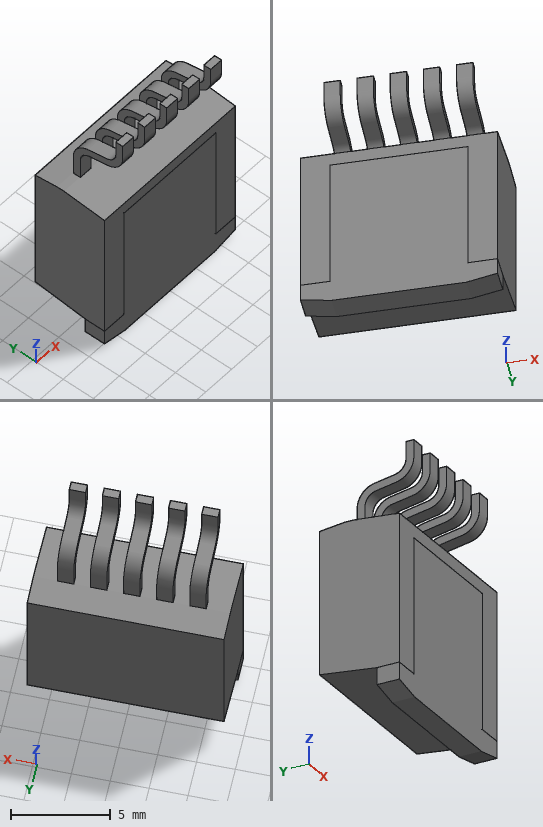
import cadquery as cq
import math


width = 10.12
depth = 4.59
back_bottom_z = 1.67
back_top_z = 9.74
front_top_z = 9.65
crest_z = 9.91

tab_thickness = 1.29
tab_exposed_height = 1.27
tab_corner_x = 1.6
tab_corner_z = 0.31
pad_side_margin = 1.52
pad_top_z = 8.92
pad_width = width - 2 * pad_side_margin

lead_count = 5
lead_pitch = 1.7
lead_width = 0.85
lead_thickness = 0.46
lead_back_y = depth - 1.47
lead_tip_front_y = -0.15
lead_top_z = 14.3
lead_bend_start_z = 11.2
lead_slope = math.radians(10)
inner_bend_radius = 0.76
outer_bend_radius = inner_bend_radius + lead_thickness


def extrude_across(points, length):
    """Extrude a (Y, Z) outline along X, centred on X = 0."""
    return cq.Workplane("YZ").polyline(points).close().extrude(length / 2, both=True)


def make_tab():
    half_width = width / 2
    half_pad = pad_width / 2
    half_foot = half_width - tab_corner_x
    outline = [
        (-half_foot, 0),
        (half_foot, 0),
        (half_width, tab_corner_z),
        (half_width, tab_exposed_height),
        (half_pad, tab_exposed_height),
        (half_pad, pad_top_z),
        (-half_pad, pad_top_z),
        (-half_pad, tab_exposed_height),
        (-half_width, tab_exposed_height),
        (-half_width, tab_corner_z),
    ]
    return cq.Workplane("XZ").polyline(outline).close().extrude(-tab_thickness)


def make_housing(tab):
    outline = [
        (0, tab_exposed_height),
        (tab_thickness, tab_exposed_height),
        (depth, back_bottom_z),
        (depth, back_top_z),
        (lead_back_y, crest_z),
        (lead_back_y - lead_thickness, crest_z),
        (0, front_top_z),
    ]
    return extrude_across(outline, width).cut(tab)


def make_lead(center_x):
    half_thickness = lead_thickness / 2
    root_y = lead_back_y - half_thickness
    tip_y = lead_tip_front_y + half_thickness
    half_turn_tan = math.tan((math.pi / 2 - lead_slope) / 2)
    center_radius = inner_bend_radius + half_thickness
    lower_corner_z = lead_bend_start_z + center_radius * half_turn_tan
    upper_corner_z = lower_corner_z + (root_y - tip_y) * math.tan(lead_slope)
    miter = half_thickness * half_turn_tan

    lower_outer = (root_y + half_thickness, lower_corner_z + miter)
    lower_inner = (root_y - half_thickness, lower_corner_z - miter)
    upper_outer = (tip_y - half_thickness, upper_corner_z - miter)
    upper_inner = (tip_y + half_thickness, upper_corner_z + miter)
    outline = [
        (root_y - half_thickness, crest_z),
        lower_inner,
        upper_outer,
        (tip_y - half_thickness, lead_top_z),
        (tip_y + half_thickness, lead_top_z),
        upper_inner,
        lower_outer,
        (root_y + half_thickness, crest_z),
    ]
    lead = extrude_across(outline, lead_width)

    bends = [
        (lower_inner, inner_bend_radius),
        (lower_outer, outer_bend_radius),
        (upper_inner, inner_bend_radius),
        (upper_outer, outer_bend_radius),
    ]
    for (y, z), radius in bends:
        lead = lead.edges(cq.NearestToPointSelector((0, y, z))).fillet(radius)
    return lead.translate((center_x, 0, 0))


tab = make_tab()
housing = make_housing(tab)
leads = []
for index in range(lead_count):
    lead_x = (index - (lead_count - 1) / 2) * lead_pitch
    leads.append(make_lead(lead_x))

result = cq.Compound.makeCompound([housing.val(), tab.val(), *[lead.val() for lead in leads]])